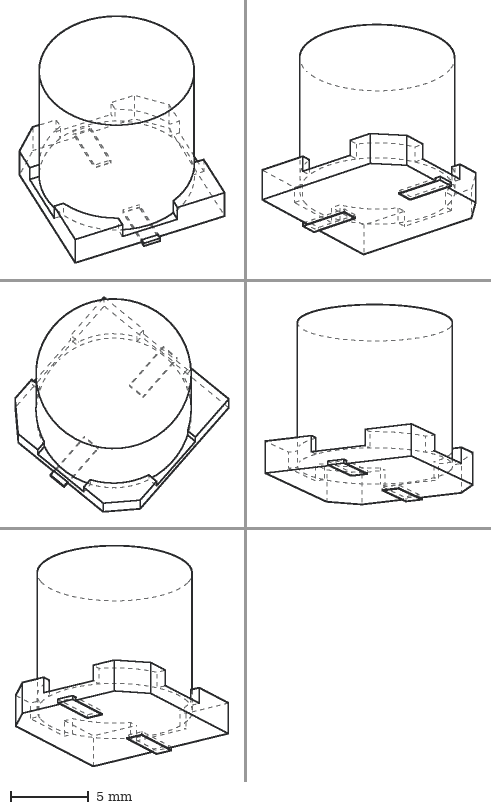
import cadquery as cq

lead_span = 11.2
total_height = 10.54

base_side = 10.5
base_height = 2.12
base_lift = 0.05
corner_chamfer = 1.68
notch_width = 3.85
notch_depth = 1.06

can_diameter = 9.96

lead_length = 3.36
lead_width = 1.15
lead_thickness = 0.26

base_top = base_lift + base_height
seat_level = base_top - notch_depth


def make_can():
    """Plain cylinder standing on the seat of the base."""
    return (
        cq.Workplane("XY")
        .workplane(offset=seat_level)
        .circle(can_diameter / 2)
        .extrude(total_height - seat_level)
    )


def make_lead(side):
    """Flat strip on the -X (side = -1) or +X (side = 1) end of the base."""
    center_x = side * (lead_span - lead_length) / 2
    return (
        cq.Workplane("XY")
        .center(center_x, 0)
        .rect(lead_length, lead_width)
        .extrude(lead_thickness)
    )


def make_base(can, leads):
    """Square plate with two cut corners, edge notches and fitted recesses."""
    plate = (
        cq.Workplane("XY")
        .workplane(offset=base_lift)
        .rect(base_side, base_side)
        .extrude(base_height)
        .edges("|Z and <X")
        .chamfer(corner_chamfer)
    )

    for size_x, size_y in ((base_side, notch_width), (notch_width, base_side)):
        channel = (
            cq.Workplane("XY")
            .workplane(offset=seat_level)
            .rect(size_x, size_y)
            .extrude(notch_depth)
        )
        plate = plate.cut(channel)

    plate = plate.cut(can)
    for lead in leads:
        plate = plate.cut(lead)
    return plate


can = make_can()
leads = [make_lead(side) for side in (-1, 1)]
base = make_base(can, leads)

result = cq.Compound.makeCompound([base.val(), can.val(), *[lead.val() for lead in leads]])